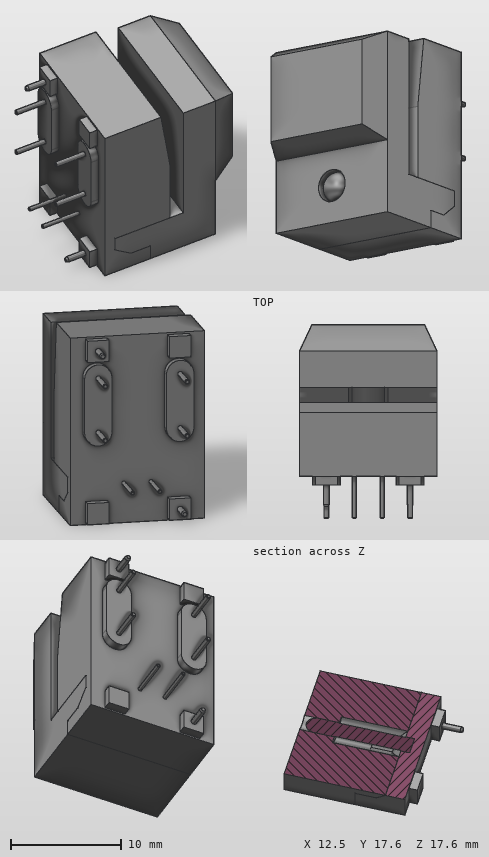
import cadquery as cq


WIDTH = 12.5
HEIGHT = 17.6
DEPTH = 17.6
PIN_REACH = 3.8
HOOD_BACK_Y = DEPTH - PIN_REACH

COLUMN_SPACING = 7.62
COLUMN_X = COLUMN_SPACING / 2
PITCH = COLUMN_SPACING / 3
MID_Z = HEIGHT / 2

SLOT_NEAR_Y = 6.72
SLOT_FAR_Y = 8.1
SLOT_FLOOR_Z = 4.28
LEAD_IN_Z = 10.98
BASE_TOP_Y = 5.79

COVER_TOP_Z = 17.04
COVER_BACK_Y = 11.4
LEG_END_Y = 1.05
LEG_BEVEL_Y = 2.7
LEG_BEVEL_Z = 2.83
LEG_STEP_Y = 4.7
LEG_STEP_Z = 1.64
HOOD_BOTTOM_Z = 6.8
HOOD_INSET = 1.13

PAD_HEIGHT = 0.8
SQUARE_PAD = 2.0
PEG_DIAMETER = 0.55
PEG_REACH = 2.75
PEG_BEVEL_LENGTH = 0.21
PEG_BEVEL_INSET = 0.09
PEG_Z_OFFSET = 3 * PITCH

DETECTOR_PIN_DIAMETER = 0.45
LAMP_LEAD_DIAMETER = 0.37
LAMP_LEAD_Z = MID_Z - 2 * PITCH
PIN_CHAMFER = 0.07

LAMP_DIAMETER = 3.0
LAMP_RECESS_DIAMETER = 3.95
LAMP_Z = 3.48
LAMP_TIP_Y = COVER_BACK_Y + 0.28

leg_outline = [
    (LEG_END_Y, SLOT_FLOOR_Z),
    (LEG_END_Y, LEG_BEVEL_Z),
    (LEG_BEVEL_Y, LEG_STEP_Z),
    (LEG_STEP_Y, LEG_STEP_Z),
    (LEG_STEP_Y, 0),
]


def rod(x, z, diameter, start_y, end_y):
    """Cylinder parallel to Y between two Y positions."""
    direction = cq.Vector(0, 1, 0)
    return cq.Workplane(
        cq.Solid.makeCylinder(diameter / 2, end_y - start_y, cq.Vector(x, start_y, z), direction)
    )


def side_profile(points):
    """Prism across the full width from (Y, Z) corner points."""
    return cq.Workplane("YZ").polyline(points).close().extrude(WIDTH / 2, both=True)


def mounting_plane(x, z):
    """Workplane on the mounting face; extruding from it goes towards -Y."""
    return cq.Workplane("XZ").center(x, z)


def make_pin(x, z, diameter):
    """Straight pin with a chamfered free end, rooted at the depth of the leg tip."""
    pin = rod(x, z, diameter, -PIN_REACH, LEG_END_Y)
    return pin.faces("<Y").chamfer(PIN_CHAMFER).solids()


def make_lamp():
    """Round lamp body with a hemispherical lens that looks through the cover."""
    radius = LAMP_DIAMETER / 2
    lens_y = LAMP_TIP_Y - radius
    lens = cq.Workplane("XY").sphere(radius).translate((0, lens_y, LAMP_Z))
    return rod(0, LAMP_Z, LAMP_DIAMETER, LEG_END_Y, lens_y).union(lens).solids()


def make_hood():
    """Four-sided tapered block on the back of the cover."""
    height = COVER_TOP_Z - HOOD_BOTTOM_Z
    mid_z = (COVER_TOP_Z + HOOD_BOTTOM_Z) / 2
    return (
        cq.Workplane("XZ", origin=(0, COVER_BACK_Y, mid_z))
        .rect(WIDTH, height)
        .workplane(offset=COVER_BACK_Y - HOOD_BACK_Y)
        .rect(WIDTH - 2 * HOOD_INSET, height - 2 * HOOD_INSET)
        .loft(combine=True)
    )


def make_cover():
    """L-shaped cover with the hood, a recess along its leg and a bore for the lamp."""
    cover = side_profile(
        leg_outline
        + [
            (COVER_BACK_Y, 0),
            (COVER_BACK_Y, COVER_TOP_Z),
            (SLOT_FAR_Y, COVER_TOP_Z),
            (SLOT_FAR_Y, SLOT_FLOOR_Z),
        ]
    ).union(make_hood())
    recess = rod(0, LAMP_Z, LAMP_RECESS_DIAMETER, LEG_END_Y, SLOT_FAR_Y)
    bore = rod(0, LAMP_Z, LAMP_DIAMETER, SLOT_FAR_Y, COVER_BACK_Y)
    return cover.cut(recess).cut(bore).solids()


def make_peg(x, z):
    """Locating peg with a slim bevel round its free end."""
    peg = rod(x, z, PEG_DIAMETER, -PEG_REACH, 0)
    return peg.faces("<Y").chamfer(PEG_BEVEL_LENGTH, PEG_BEVEL_INSET)


def make_base(inserts):
    """Base block with pads and pegs, hollowed for the bodies that go into it."""
    base = side_profile(
        [
            (0, 0),
            (0, HEIGHT),
            (BASE_TOP_Y, HEIGHT),
            (SLOT_NEAR_Y, LEAD_IN_Z),
            (SLOT_NEAR_Y, SLOT_FLOOR_Z),
        ]
        + leg_outline
    )
    for x in (-COLUMN_X, COLUMN_X):
        long_pad = mounting_plane(x, MID_Z + PITCH).slot2D(3 * PITCH, PITCH, 90).extrude(PAD_HEIGHT)
        base = base.union(long_pad)
        for z in (MID_Z - PEG_Z_OFFSET, MID_Z + PEG_Z_OFFSET):
            base = base.union(mounting_plane(x, z).rect(SQUARE_PAD, SQUARE_PAD).extrude(PAD_HEIGHT))
    base = base.union(make_peg(-COLUMN_X, MID_Z + PEG_Z_OFFSET))
    base = base.union(make_peg(COLUMN_X, MID_Z - PEG_Z_OFFSET))
    for insert in inserts:
        base = base.cut(insert)
    return base.solids()


detector_pins = [
    make_pin(x, z, DETECTOR_PIN_DIAMETER)
    for x in (-COLUMN_X, COLUMN_X)
    for z in (MID_Z, MID_Z + 2 * PITCH)
]
lamp_leads = [
    make_pin(x, LAMP_LEAD_Z, LAMP_LEAD_DIAMETER)
    for x in (-PITCH / 2, PITCH / 2)
]
lamp = make_lamp()
cover = make_cover()
base = make_base([lamp, *detector_pins, *lamp_leads])

result = cq.Compound.makeCompound(
    [
        base.val(),
        cover.val(),
        lamp.val(),
        *[pin.val() for pin in detector_pins],
        *[lead.val() for lead in lamp_leads],
    ]
)